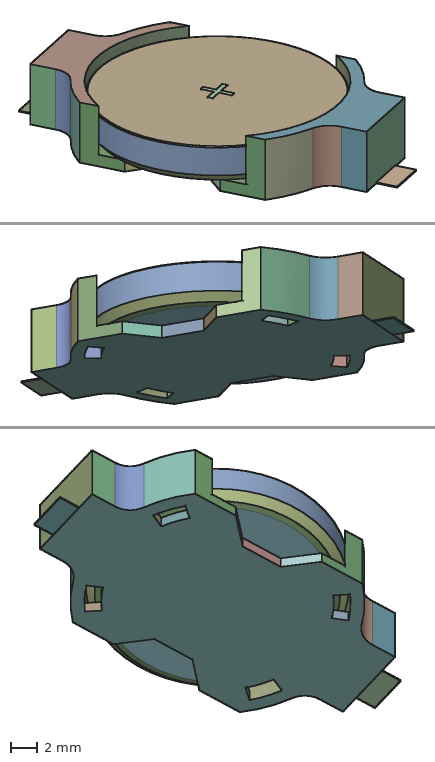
import cadquery as cq
import math

overall_length = 31.9
housing_height = 5.07
housing_length = 28.35
housing_radius = 11.2
housing_width = 16.0
arm_width = 6.83
arm_fillet = 2.0
floor_thickness = 1.0

can_diameter = 20.0
can_base_diameter = 18.7
cap_face_diameter = 17.7
cell_thickness = 3.22
cap_height = 0.13
cone_height = 0.67
rim_chamfer = 0.1
pocket_clearance = 0.13

plus_length = 2.65
plus_bar_width = 0.45
plus_depth = 0.1

notch_mouth = 8.05
notch_depth = 2.23

window_direction = 147.0
window_span = 15.0
window_radial_width = 1.28

terminal_width = 3.38
terminal_thickness = 0.1

can_radius = can_diameter / 2
can_base_radius = can_base_diameter / 2
cap_face_radius = cap_face_diameter / 2
pocket_radius = can_radius + pocket_clearance
cell_bottom = floor_thickness
can_bottom = cell_bottom + cap_height
cell_top = cell_bottom + cell_thickness
terminal_length = (overall_length - housing_length) / 2


def floor_notch():
    """Trapezoidal notch cut into the -Y edge of the floor."""
    half_mouth = notch_mouth / 2
    half_back = half_mouth - notch_depth
    edge_y = -housing_width / 2
    back_y = edge_y + notch_depth
    return (
        cq.Workplane("XY")
        .polyline([(-half_mouth, edge_y), (half_mouth, edge_y), (half_back, back_y), (-half_back, back_y)])
        .close()
        .extrude(floor_thickness)
    )


def floor_window(direction):
    """Ring-sector window against the pocket wall, centred on the given direction."""
    start = direction - window_span / 2
    end = direction + window_span / 2
    inner_radius = pocket_radius - window_radial_width

    def polar(radius, angle):
        return (radius * math.cos(math.radians(angle)), radius * math.sin(math.radians(angle)))

    return (
        cq.Workplane("XY")
        .moveTo(*polar(inner_radius, start))
        .lineTo(*polar(pocket_radius, start))
        .threePointArc(polar(pocket_radius, direction), polar(pocket_radius, end))
        .lineTo(*polar(inner_radius, end))
        .threePointArc(polar(inner_radius, direction), polar(inner_radius, start))
        .close()
        .extrude(floor_thickness)
    )


def make_housing():
    """Round holder with flattened sides, two end arms and an open round pocket."""
    on_base = (True, True, False)
    disc = cq.Workplane("XY").circle(housing_radius).extrude(housing_height)
    sides = cq.Workplane("XY").box(housing_length, housing_width, housing_height, centered=on_base)
    arms = cq.Workplane("XY").box(housing_length, arm_width, housing_height, centered=on_base)
    body = disc.intersect(sides).union(arms)

    corner_y = arm_width / 2
    corner_x = math.sqrt(housing_radius**2 - corner_y**2)
    for x in (-corner_x, corner_x):
        for y in (-corner_y, corner_y):
            corner = cq.selectors.NearestToPointSelector((x, y, housing_height / 2))
            body = body.edges("|Z").edges(corner).fillet(arm_fillet)

    pocket = (
        cq.Workplane("XY", origin=(0, 0, floor_thickness))
        .circle(pocket_radius)
        .extrude(housing_height - floor_thickness)
    )
    body = body.cut(pocket)

    notch = floor_notch()
    body = body.cut(notch).cut(notch.mirror("XZ"))
    for direction in (window_direction, 180 - window_direction):
        body = body.cut(floor_window(direction)).cut(floor_window(-direction))
    return body


def make_plus_mark():
    """Two crossed bars whose top is flush with the can."""
    bars = cq.Workplane("XY", origin=(0, 0, cell_top - plus_depth))
    along_x = bars.rect(plus_length, plus_bar_width).extrude(plus_depth)
    along_y = bars.rect(plus_bar_width, plus_length).extrude(plus_depth)
    return along_x.union(along_y)


def make_can(mark):
    """Positive can with a tapered base, a chamfered top rim and a recess for the mark."""
    can = (
        cq.Workplane("XZ")
        .moveTo(0, can_bottom)
        .lineTo(can_base_radius, can_bottom)
        .lineTo(can_radius, can_bottom + cone_height)
        .lineTo(can_radius, cell_top - rim_chamfer)
        .lineTo(can_radius - rim_chamfer, cell_top)
        .lineTo(0, cell_top)
        .close()
        .revolve(360, (0, 0), (0, 1))
    )
    return can.cut(mark)


def make_negative_cap():
    """Bevelled disc that closes the underside of the can."""
    return (
        cq.Workplane("XZ")
        .moveTo(0, cell_bottom)
        .lineTo(cap_face_radius, cell_bottom)
        .lineTo(can_base_radius, can_bottom)
        .lineTo(0, can_bottom)
        .close()
        .revolve(360, (0, 0), (0, 1))
    )


def make_terminal(side):
    """Flat solder tab against the end of an arm; side is -1 or +1 along X."""
    center_x = side * (housing_length + terminal_length) / 2
    return (
        cq.Workplane("XY", origin=(center_x, 0, 0))
        .rect(terminal_length, terminal_width)
        .extrude(terminal_thickness)
    )


housing = make_housing()
plus_mark = make_plus_mark()
can = make_can(plus_mark)
negative_cap = make_negative_cap()
terminals = [make_terminal(side) for side in (-1, 1)]

result = cq.Compound.makeCompound(
    [
        housing.solids().val(),
        can.solids().val(),
        negative_cap.solids().val(),
        plus_mark.solids().val(),
        *[terminal.solids().val() for terminal in terminals],
    ]
)